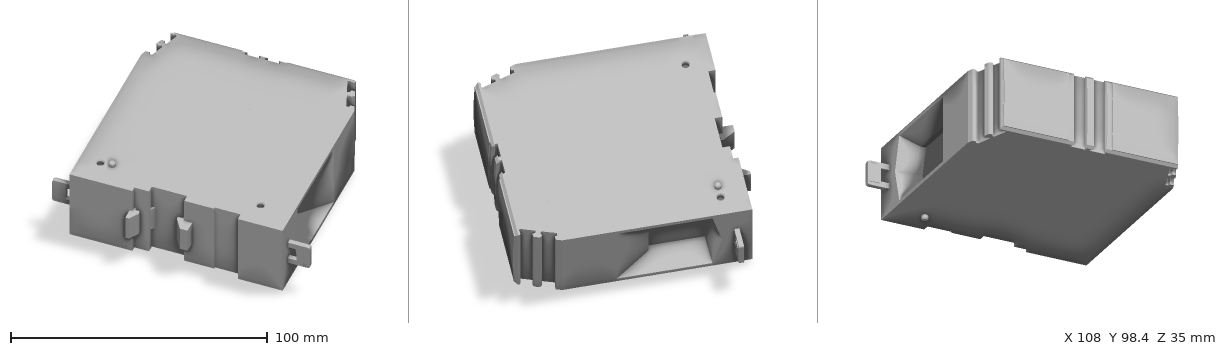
import cadquery as cq


HALF_WIDTH = 44.7
THICKNESS = 31.2
HALF_THICKNESS = THICKNESS / 2
END_Y = 93.4
END_CROWN = 0.4
END_EDGE_Y = END_Y - END_CROWN
END_CHAMFER = 1.1
END_EDGE_Z = HALF_THICKNESS - END_CHAMFER
SHOULDER_Y = 75.6

FLANK_FOOT = (40.7, 77.0)
FLANK_TOP = (35.7, 90.7)
END_HALF_WIDTH = 38.7
END_CORNER_X = 37.9
LIP_BOTTOM_Y = 91.7
CHAMFER_START_Y = 92.2

NOTCH_FLOOR_Y = 90.6
NOTCH_HALF_WIDTH = 7.5
NOTCH_MOUTH_HALF_WIDTH = 6.7
NOTCH_CORNER_X = 7.3
RIB_STEM_HALF_WIDTH = 1.0
RIB_HEAD_HALF_WIDTH = 1.7
RIB_TOP_HALF_WIDTH = 1.4

RAIL_LEFT = -18.4
RAIL_SEAT_LEFT = -12.2
RAIL_SEAT_RIGHT = 2.6
RAIL_STEP_X = 15.1
RAIL_RIGHT = 25.9
RAIL_EDGE_Y = 2.2
RAIL_SEAT_Y = 5.2
RAIL_STEP_Y = 2.9

GRIP_TAPER_DEPTH = 8.9
GRIP_STRAIGHT_DEPTH = 2.4
GRIP_RIM_HALF_HEIGHT = 14.0
GRIP_RIM_YS = (54.0, 15.9, 12.1)
GRIP_FLOOR_HALF_HEIGHT = 10.9
GRIP_FLOOR_YS = (39.4, 16.6, 13.7)

PIN_X = 31.1
PIN_Y = 10.9
PIN_DIAMETER = 2.8
PIN_TIP_SPAN = 35.0
PIN_HEIGHT = (PIN_TIP_SPAN - THICKNESS) / 2
PIN_CHAMFER = 0.4
HOLE_XS = (-36.1, PIN_X)
HOLE_DIAMETER = 2.8
HOLE_CHAMFER = 0.4
HOLE_DEPTH = 2.2

LABEL_LENGTH = 63.5
LABEL_WIDTH = 15.8
LABEL_CENTER_Y = 69.2
LABEL_CORNER_RADIUS = 1.3
LABEL_THICKNESS = 0.4

PLATE_INNER_X = 9.4
PLATE_THICKNESS = 0.4

LATCH_WIDTH = 10.5
LATCH_TIP_X = 54.0
LATCH_TOP_Y = 7.2
LATCH_CORNER_RADIUS = 0.8
SLOT_OUTER_X = 48.4
SLOT_INNER_X = 41.5
SLOT_WIDTH = 5.7

GRIP_PAD_INNER_X = 48.9
GRIP_PAD_OUTER_X = 53.5
GRIP_PAD_WIDTH = 7.7
GRIP_PAD_HEIGHT = 0.3

LEFT_HOOK = [
    (-10.6, LATCH_TOP_Y), (-10.6, RAIL_SEAT_Y), (RAIL_SEAT_LEFT, 3.2), (-17.5, 3.2), (-17.5, 1.0),
    (-16.0, 1.0), (-15.4, 0.4), (-15.4, -0.8), (-17.9, -4.6), (-19.4, -4.6), (-19.4, RAIL_SEAT_Y),
]
RIGHT_HOOK = [
    (1.7, LATCH_TOP_Y), (1.7, 3.8), (1.2, 3.3), (-0.5, 3.3), (-0.5, 2.3),
    (2.7, -2.8), (5.9, -2.8), (5.9, RAIL_SEAT_Y),
]


def slab(points, thickness):
    """Prism of an XY outline, centred on the mid-plane Z = 0."""
    return cq.Workplane("XY").polyline(points).close().extrude(thickness / 2, both=True)


def right_end_outline():
    """Outline of the right half above the shoulder, from the side wall inwards to the rib."""
    shoulder_tab = [(HALF_WIDTH, SHOULDER_Y), (43.8, 78.1), (42.1, 78.1), (41.9, 77.0), FLANK_FOOT]
    flank_nub = [
        (38.7, 82.8), (39.4, 83.3), (40.7, 82.8), (41.6, 83.9), (40.8, 86.0),
        (40.4, 86.4), (39.1, 86.4), (38.9, 85.2), (37.9, 84.9),
    ]
    corner_lip = [
        FLANK_TOP, (36.5, 91.3), (37.3, 90.9), (38.1, 90.9),
        (END_HALF_WIDTH, 91.3), (END_HALF_WIDTH, CHAMFER_START_Y), (END_CORNER_X, END_Y),
    ]
    notch = [
        (NOTCH_CORNER_X, END_Y),
        (NOTCH_MOUTH_HALF_WIDTH, CHAMFER_START_Y),
        (NOTCH_MOUTH_HALF_WIDTH, LIP_BOTTOM_Y),
        (NOTCH_HALF_WIDTH, LIP_BOTTOM_Y),
        (NOTCH_HALF_WIDTH, NOTCH_FLOOR_Y),
    ]
    rib = [
        (RIB_STEM_HALF_WIDTH, NOTCH_FLOOR_Y),
        (RIB_STEM_HALF_WIDTH, LIP_BOTTOM_Y),
        (RIB_HEAD_HALF_WIDTH, LIP_BOTTOM_Y),
        (RIB_HEAD_HALF_WIDTH, CHAMFER_START_Y),
        (RIB_TOP_HALF_WIDTH, END_Y),
    ]
    return shoulder_tab + flank_nub + corner_lip + notch + rib


def make_housing_block():
    right_end = right_end_outline()
    left_end = [(-x, y) for x, y in reversed(right_end)]
    rail_side = [
        (-HALF_WIDTH, 0),
        (RAIL_LEFT, 0),
        (RAIL_LEFT, RAIL_EDGE_Y),
        (RAIL_SEAT_LEFT, RAIL_EDGE_Y),
        (RAIL_SEAT_LEFT, RAIL_SEAT_Y),
        (RAIL_SEAT_RIGHT, RAIL_SEAT_Y),
        (RAIL_SEAT_RIGHT, RAIL_EDGE_Y),
        (RAIL_STEP_X, RAIL_EDGE_Y),
        (RAIL_STEP_X, RAIL_STEP_Y),
        (RAIL_RIGHT, RAIL_STEP_Y),
        (RAIL_RIGHT, 0),
        (HALF_WIDTH, 0),
    ]
    block = slab(rail_side + right_end + left_end, THICKNESS)
    return block.intersect(make_end_envelope())


def make_end_envelope():
    """Block whose terminal end is bevelled along both faces and arched across the thickness."""
    chamfer_start_y = END_EDGE_Y - END_CHAMFER
    return (
        cq.Workplane("YZ")
        .moveTo(0, -HALF_THICKNESS)
        .lineTo(chamfer_start_y, -HALF_THICKNESS)
        .lineTo(END_EDGE_Y, -END_EDGE_Z)
        .threePointArc((END_Y, 0), (END_EDGE_Y, END_EDGE_Z))
        .lineTo(chamfer_start_y, HALF_THICKNESS)
        .lineTo(0, HALF_THICKNESS)
        .close()
        .extrude(HALF_WIDTH, both=True)
    )


def grip_section(plane_x, ys, half_height):
    """Five-cornered pocket outline at a given X, pointed towards the rail side."""
    far_y, corner_y, point_y = ys
    outline = [
        (far_y, -half_height), (corner_y, -half_height), (point_y, 0),
        (corner_y, half_height), (far_y, half_height),
    ]
    return cq.Wire.makePolygon([cq.Vector(plane_x, y, z) for y, z in outline], close=True)


def make_grip_pocket(side):
    """Pocket that tapers inwards from its rim, then runs straight down to a flat floor."""
    rim_x = side * HALF_WIDTH
    taper_end_x = side * (HALF_WIDTH - GRIP_TAPER_DEPTH)
    rim = grip_section(rim_x, GRIP_RIM_YS, GRIP_RIM_HALF_HEIGHT)
    taper_end = grip_section(taper_end_x, GRIP_FLOOR_YS, GRIP_FLOOR_HALF_HEIGHT)
    tapered = cq.Workplane(cq.Solid.makeLoft([rim, taper_end], True))
    straight = cq.Solid.extrudeLinear(taper_end, [], cq.Vector(-side * GRIP_STRAIGHT_DEPTH, 0, 0))
    return tapered.union(cq.Workplane(straight))


def make_pin_hole(x):
    hole_mouth = cq.Workplane("XY", origin=(x, PIN_Y, HALF_THICKNESS))
    hole = hole_mouth.circle(HOLE_DIAMETER / 2).extrude(-HOLE_DEPTH)
    countersink = hole_mouth.circle(HOLE_DIAMETER / 2 + HOLE_CHAMFER).extrude(-HOLE_CHAMFER, taper=45)
    return hole.union(countersink)


def make_pin(side):
    """Pin on the upper (+1) or lower (-1) face."""
    return (
        cq.Workplane("XY", origin=(-side * PIN_X, PIN_Y, side * HALF_THICKNESS))
        .circle(PIN_DIAMETER / 2)
        .extrude(side * PIN_HEIGHT)
        .faces(">Z" if side > 0 else "<Z")
        .chamfer(PIN_CHAMFER)
    )


def make_label():
    return (
        cq.Workplane("XY", origin=(0, LABEL_CENTER_Y, HALF_THICKNESS))
        .rect(LABEL_LENGTH, LABEL_WIDTH)
        .extrude(-LABEL_THICKNESS)
        .edges("|Z")
        .fillet(LABEL_CORNER_RADIUS)
    )


def make_cover_plate(side):
    """Thin plate that follows the arch of the end face."""
    start_x = PLATE_INNER_X if side > 0 else -END_CORNER_X
    return (
        cq.Workplane("YZ", origin=(start_x, 0, 0))
        .moveTo(END_EDGE_Y, -END_EDGE_Z)
        .threePointArc((END_Y, 0), (END_EDGE_Y, END_EDGE_Z))
        .lineTo(END_EDGE_Y + PLATE_THICKNESS, END_EDGE_Z)
        .threePointArc((END_Y + PLATE_THICKNESS, 0), (END_EDGE_Y + PLATE_THICKNESS, -END_EDGE_Z))
        .close()
        .extrude(END_CORNER_X - PLATE_INNER_X)
    )


def make_latch(side, hook_outline):
    """Sliding bar with a slotted tongue outside the side wall and a rail hook at its inner end.

    The slot runs on inside the wall, where the housing fills it as a guide post.
    """
    tip = side * LATCH_TIP_X
    outline = [(tip, RAIL_SEAT_Y), (tip, LATCH_TOP_Y)] + hook_outline
    latch = slab(outline, LATCH_WIDTH)
    latch = latch.faces(">X" if side > 0 else "<X").edges("|Y").fillet(LATCH_CORNER_RADIUS)
    bar_height = LATCH_TOP_Y - RAIL_SEAT_Y
    slot = (
        cq.Workplane("XY")
        .box(SLOT_OUTER_X - SLOT_INNER_X, bar_height, SLOT_WIDTH)
        .translate((side * (SLOT_OUTER_X + SLOT_INNER_X) / 2, RAIL_SEAT_Y + bar_height / 2, 0))
    )
    grip_pad = (
        cq.Workplane("XY")
        .box(GRIP_PAD_OUTER_X - GRIP_PAD_INNER_X, GRIP_PAD_HEIGHT, GRIP_PAD_WIDTH)
        .translate((side * (GRIP_PAD_OUTER_X + GRIP_PAD_INNER_X) / 2, LATCH_TOP_Y + GRIP_PAD_HEIGHT / 2, 0))
    )
    return latch.cut(slot).union(grip_pad)


latches = [make_latch(-1, LEFT_HOOK), make_latch(1, RIGHT_HOOK)]
pins = [make_pin(side) for side in (1, -1)]
cover_plates = [make_cover_plate(side) for side in (-1, 1)]
label = make_label()

housing = make_housing_block()
for side in (-1, 1):
    housing = housing.cut(make_grip_pocket(side))
for hole_x in HOLE_XS:
    housing = housing.cut(make_pin_hole(hole_x))
for inserted_body in latches + [label]:
    housing = housing.cut(inserted_body)

bodies = [housing, label] + cover_plates + pins + latches
result = cq.Compound.makeCompound([body.solids().val() for body in bodies])